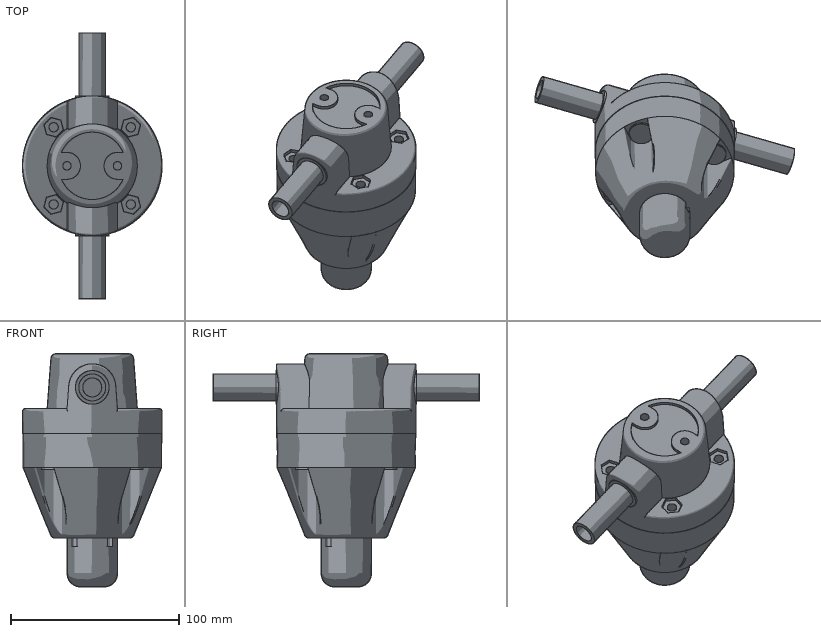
import cadquery as cq
import math

sides = (-1, 1)

cone_bottom_z = 29.0
cone_top_z = 71.0
gasket_z = 89.0
cover_bottom_z = 91.0
cover_top_z = 106.0
pipe_axis_z = 118.5
tower_top_z = 138.5

gasket_radius = 41.3
body_radius = 41.15
cone_bottom_radius = 24.0
cone_edge_fillet = 3.0
plug_radius = 15.0
plug_tip_fillet = 8.0
notch_radius = 2.0
notch_bottom_z = 24.0
notch_angles = (225, 315)

cover_radius = 41.5
cover_rim_fillet = 2.0
draft_angle = 4.2
draft_slope = math.tan(math.radians(draft_angle))
tower_base_radius = 26.8
tower_top_radius = tower_base_radius - (tower_top_z - cover_top_z) * draft_slope
tower_rim_fillet = 3.0
arm_radius = 14.0
arm_end_fillet = 1.0

recess_radius = 20.0
recess_depth = 2.0
pad_radius = 8.0
pad_offset = 15.0
pad_hole_diameter = 5.0
pad_hole_depth = 8.0

collar_radius = 10.0
collar_face_y = 41.6
pipe_radius = 8.0
pipe_bore_radius = 5.65
pipe_end_y = 79.0

bolt_circle_radius = 32.4
bolt_angles = (45, 135, 225, 315)
bolt_hole_diameter = 5.5
hex_across_flats = 10.5
hex_depth = 2.0
flute_radius = 7.5
flute_edge_fillet = 0.7
bolt_head_radius = 7.2
bolt_head_height = 1.3


def cylinder_z(radius, bottom_z, top_z):
    """Upright cylinder on the main axis."""
    return cq.Workplane("XY").workplane(offset=bottom_z).circle(radius).extrude(top_z - bottom_z)


def cylinder_y(radius, start_y, end_y):
    """Cylinder on the pipe axis, from start_y to end_y."""
    plane = cq.Plane(origin=(0, start_y, pipe_axis_z), xDir=(1, 0, 0), normal=(0, 1, 0))
    return cq.Workplane(plane).circle(radius).extrude(end_y - start_y)


def on_diagonal(shape, angle):
    """Turn a shape built along +X about the main axis."""
    return shape.rotate((0, 0, 0), (0, 0, 1), angle)


def revolve_outline(points):
    """Turn a closed outline of (radius, z) points about the main axis."""
    return cq.Workplane("XZ").polyline(points).close().revolve(360, (0, 0, 0), (0, 1, 0))


def make_flute():
    """Round-nosed upright slot along +X, open outwards and at both ends."""
    nose_tip_x = bolt_circle_radius - flute_radius
    mouth_x = 2 * body_radius
    return (
        cq.Workplane("XY")
        .moveTo(mouth_x, flute_radius)
        .lineTo(bolt_circle_radius, flute_radius)
        .threePointArc((nose_tip_x, 0), (bolt_circle_radius, -flute_radius))
        .lineTo(mouth_x, -flute_radius)
        .close()
        .extrude(tower_top_z)
    )


def make_cone():
    """Steep cone with a flute under every bolt and rounded flute mouths.

    The cone is made too tall and trimmed afterwards, so the rounding runs out at its top.
    """
    spare_height = 5.0
    cone_slope = (body_radius - cone_bottom_radius) / (cone_top_z - cone_bottom_z)
    spare_radius = body_radius + spare_height * cone_slope
    cone = revolve_outline([
        (0, cone_bottom_z),
        (cone_bottom_radius, cone_bottom_z),
        (spare_radius, cone_top_z + spare_height),
        (0, cone_top_z + spare_height),
    ])
    cone = cone.faces("<Z").edges().fillet(cone_edge_fillet)
    flute = make_flute()
    for angle in bolt_angles:
        cone = cone.cut(on_diagonal(flute, angle))
    mouth_edges = [edge for edge in cone.edges().vals() if edge.geomType() in ("HYPERBOLA", "BSPLINE")]
    cone = cone.newObject(mouth_edges).fillet(flute_edge_fillet)
    return cone.intersect(cylinder_z(spare_radius, 0, cone_top_z))


def make_barrel():
    """Slightly drafted barrel with the straight gasket band on top."""
    return revolve_outline([
        (0, cone_top_z),
        (body_radius, cone_top_z),
        (gasket_radius, gasket_z),
        (gasket_radius, cover_bottom_z),
        (0, cover_bottom_z),
    ])


def make_bolt_head():
    """Round head seated against the top of a flute."""
    head = cylinder_z(bolt_head_radius, cone_top_z - bolt_head_height, cone_top_z)
    return head.translate((bolt_circle_radius, 0, 0))


def make_plug():
    """Round-ended outlet plug with two half-round notches at its root."""
    plug = cylinder_z(plug_radius, 0, cone_bottom_z).faces("<Z").edges().fillet(plug_tip_fillet)
    notch = cylinder_z(notch_radius, notch_bottom_z, cone_bottom_z).translate((plug_radius, 0, 0))
    for angle in notch_angles:
        plug = plug.cut(on_diagonal(notch, angle))
    return plug


def make_tower():
    """Drafted tower with a rounded rim."""
    tower = revolve_outline([
        (0, cover_top_z),
        (tower_base_radius, cover_top_z),
        (tower_top_radius, tower_top_z),
        (0, tower_top_z),
    ])
    return tower.faces(">Z").edges().fillet(tower_rim_fillet)


def make_arms():
    """Drafted, round-topped bar along Y, trimmed to the cover's outer cylinder."""
    angle = math.radians(draft_angle)
    tangent_x = arm_radius * math.cos(angle)
    tangent_z = pipe_axis_z + arm_radius * math.sin(angle)
    base_x = tangent_x + (tangent_z - cover_bottom_z) * draft_slope
    return (
        cq.Workplane("XZ")
        .moveTo(-base_x, cover_bottom_z)
        .lineTo(-tangent_x, tangent_z)
        .threePointArc((0, pipe_axis_z + arm_radius), (tangent_x, tangent_z))
        .lineTo(base_x, cover_bottom_z)
        .close()
        .extrude(pipe_end_y, both=True)
        .intersect(cylinder_z(cover_radius, cover_bottom_z, tower_top_z))
        .faces("<Y or >Y").edges("not <Z").fillet(arm_end_fillet)
    )


def make_cover():
    """Cover disc with its rim rounded."""
    disc = cylinder_z(cover_radius, cover_bottom_z, cover_top_z)
    return disc.faces(">Z").edges().fillet(cover_rim_fillet)


def make_recess():
    """Volume removed from the tower top, leaving the two pads."""
    floor_z = tower_top_z - recess_depth
    recess = cylinder_z(recess_radius, floor_z, tower_top_z)
    for side in sides:
        pad = cylinder_z(pad_radius, floor_z, tower_top_z).translate((side * pad_offset, 0, 0))
        web = (
            cq.Workplane("XY")
            .workplane(offset=floor_z)
            .center(side * (pad_offset + pad_radius / 2), 0)
            .rect(pad_radius, 2 * pad_radius)
            .extrude(recess_depth)
        )
        recess = recess.cut(pad).cut(web)
    return recess


def make_bolt_hole():
    """Drafted hexagonal nut pocket, one flat facing the axis, above a hole through the cover."""
    hole = cylinder_z(bolt_hole_diameter / 2, cover_bottom_z, cover_top_z)
    across_corners = hex_across_flats / math.cos(math.pi / 6)
    pocket = (
        cq.Workplane("XY")
        .workplane(offset=cover_top_z)
        .polygon(6, across_corners)
        .extrude(-hex_depth, taper=draft_angle)
        .rotate((0, 0, 0), (0, 0, 1), 30)
    )
    return hole.union(pocket).translate((bolt_circle_radius, 0, 0))


def make_pad_hole(side):
    """Blind screw hole in one of the tower pads."""
    hole = cylinder_z(pad_hole_diameter / 2, tower_top_z - pad_hole_depth, tower_top_z)
    return hole.translate((side * pad_offset, 0, 0))


def make_pipe(side):
    """Pipe on one side, with its collar, starting inside the tower."""
    collar = cylinder_y(collar_radius, 0, side * collar_face_y)
    return collar.union(cylinder_y(pipe_radius, 0, side * pipe_end_y))


def make_pipe_bore(side):
    """Blind bore along the exposed length of one pipe."""
    return cylinder_y(pipe_bore_radius, side * collar_face_y, side * pipe_end_y)


result = (
    make_cover()
    .union(make_arms())
    .union(make_tower())
    .union(make_barrel())
    .union(make_cone())
    .union(make_plug())
    .cut(make_recess())
)

for angle in bolt_angles:
    result = result.union(on_diagonal(make_bolt_head(), angle))
    result = result.cut(on_diagonal(make_bolt_hole(), angle))

for side in sides:
    result = result.cut(make_pad_hole(side))
    result = result.union(make_pipe(side)).cut(make_pipe_bore(side))